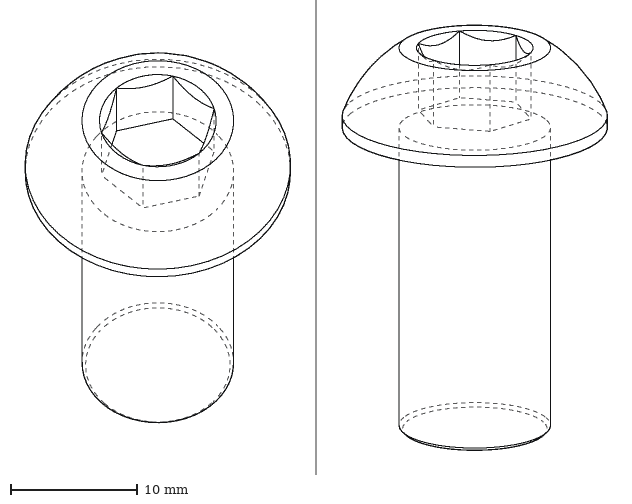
import cadquery as cq
import math

total_height = 31.6
head_height = 6.6
head_diameter = 21.0
rim_height = 0.98
shank_diameter = 12.0
dome_flat_diameter = shank_diameter
dome_radius = 11.7
tip_chamfer = 0.3
socket_flats = 8.0
socket_depth = 5.53
countersink_angle = 45.0

shank_length = total_height - head_height
head_radius = head_diameter / 2
flat_radius = dome_flat_diameter / 2
rim_top = shank_length + rim_height
socket_corners = socket_flats / math.cos(math.radians(30))


def make_shank():
    shank = cq.Workplane("XY").circle(shank_diameter / 2).extrude(shank_length)
    return shank.faces("<Z").chamfer(tip_chamfer)


def make_head():
    run = head_radius - flat_radius
    rise = total_height - rim_top
    chord = math.hypot(run, rise)
    bulge = dome_radius - math.sqrt(dome_radius**2 - (chord / 2) ** 2)
    arc_middle = (
        (head_radius + flat_radius) / 2 + bulge * rise / chord,
        (rim_top + total_height) / 2 + bulge * run / chord,
    )
    profile = (
        cq.Workplane("XZ")
        .moveTo(0, shank_length)
        .lineTo(head_radius, shank_length)
        .lineTo(head_radius, rim_top)
        .threePointArc(arc_middle, (flat_radius, total_height))
        .lineTo(0, total_height)
        .close()
    )
    return profile.revolve(360, (0, 0, 0), (0, 1, 0))


def make_socket():
    top = cq.Workplane("XY").workplane(offset=total_height)
    hexagon = top.transformed(rotate=(0, 0, 90)).polygon(6, socket_corners).extrude(-socket_depth)
    cone_radius = socket_corners / 2
    cone_depth = cone_radius * math.tan(math.radians(countersink_angle))
    cone = cq.Solid.makeCone(
        cone_radius, 0, cone_depth, pnt=cq.Vector(0, 0, total_height), dir=cq.Vector(0, 0, -1)
    )
    return hexagon.union(cq.Workplane(cone))


result = make_shank().union(make_head()).cut(make_socket())